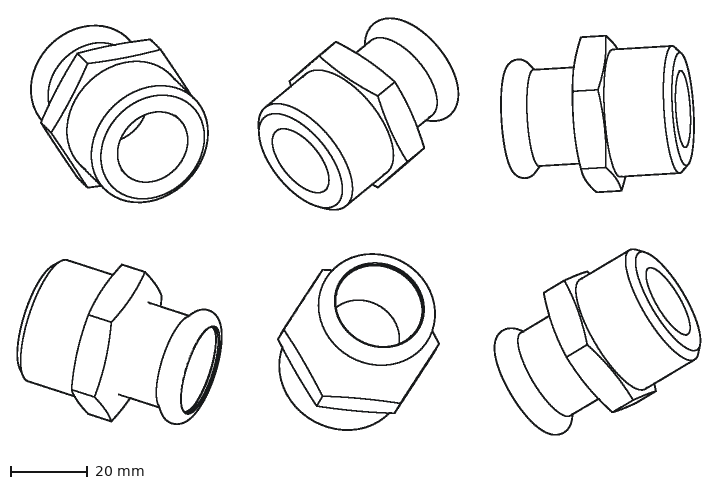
import cadquery as cq
import math

length = 45.8

tube_radius = 12.6
bead_radius = 2.95
bead_slope = math.radians(48.6)

hex_start = 20.0
hex_end = 28.1
hex_across_flats = 36.0
hex_chamfer_angle = math.radians(15)
neck_fillet = 0.9

spigot_radius = 33.25 / 2
spigot_chamfer = 1.9

lip_radius = 23.3 / 2
lip_chamfer = 0.3
lip_thickness = 0.95
groove_round = 1.5
socket_radius = 22.2 / 2
socket_mouth_round = 1.92
socket_depth = hex_start
stop_fillet = 0.55
bore_radius = 20.0 / 2


def arc_point(centre, radius, angle):
    """Point on a circle; the angle is measured from the radial direction towards +X."""
    return (centre[0] + radius * math.sin(angle), centre[1] + radius * math.cos(angle))


def revolve_about_x(profile):
    return profile.close().revolve(360, (0, 0, 0), (1, 0, 0))


def make_body():
    bead_centre = (bead_radius, tube_radius)
    bead_end = arc_point(bead_centre, bead_radius, bead_slope)
    cone_end = bead_end[0] + (bead_end[1] - tube_radius) / math.tan(bead_slope)
    fillet_centre = (hex_start - neck_fillet, tube_radius + neck_fillet)
    profile = (
        cq.Workplane("XY")
        .lineTo(0, tube_radius)
        .threePointArc(arc_point(bead_centre, bead_radius, 0), bead_end)
        .lineTo(cone_end, tube_radius)
        .lineTo(hex_start - neck_fillet, tube_radius)
        .threePointArc(
            arc_point(fillet_centre, neck_fillet, math.radians(135)),
            (hex_start, tube_radius + neck_fillet),
        )
        .lineTo(hex_start, spigot_radius)
        .lineTo(length - spigot_chamfer, spigot_radius)
        .lineTo(length, spigot_radius - spigot_chamfer)
        .lineTo(length, 0)
    )
    return revolve_about_x(profile)


def make_hexagon():
    flat_radius = hex_across_flats / 2
    corner_radius = flat_radius / math.cos(math.pi / 6)
    chamfer_depth = (corner_radius - flat_radius) * math.tan(hex_chamfer_angle)
    prism = (
        cq.Workplane("YZ", origin=(hex_start, 0, 0))
        .polygon(6, 2 * corner_radius)
        .extrude(hex_end - hex_start)
    )
    blank = (
        cq.Workplane("XY")
        .moveTo(hex_start, 0)
        .lineTo(hex_start, flat_radius)
        .lineTo(hex_start + chamfer_depth, corner_radius)
        .lineTo(hex_end - chamfer_depth, corner_radius)
        .lineTo(hex_end, flat_radius)
        .lineTo(hex_end, 0)
    )
    return prism.intersect(revolve_about_x(blank))


def make_cavity():
    groove_centre = (bead_radius, tube_radius)
    rear_end = arc_point(groove_centre, groove_round, bead_slope)
    mouth_radius = socket_radius + socket_mouth_round * (1 - math.cos(bead_slope))
    mouth_start = rear_end[0] + (rear_end[1] - mouth_radius) / math.tan(bead_slope)
    mouth_end = mouth_start + socket_mouth_round * math.sin(bead_slope)
    mouth_centre = (mouth_end, socket_radius + socket_mouth_round)

    stop_centre = (socket_depth - stop_fillet, socket_radius - stop_fillet)

    profile = (
        cq.Workplane("XY")
        .lineTo(0, lip_radius + lip_chamfer)
        .lineTo(lip_chamfer, lip_radius)
        .lineTo(lip_thickness, lip_radius)
        .lineTo(bead_radius - groove_round, tube_radius)
        .threePointArc(arc_point(groove_centre, groove_round, 0), rear_end)
        .lineTo(mouth_start, mouth_radius)
        .threePointArc(
            arc_point(mouth_centre, socket_mouth_round, math.pi + bead_slope / 2),
            (mouth_end, socket_radius),
        )
        .lineTo(socket_depth - stop_fillet, socket_radius)
        .threePointArc(
            arc_point(stop_centre, stop_fillet, math.pi / 4),
            (socket_depth, socket_radius - stop_fillet),
        )
        .lineTo(socket_depth, bore_radius)
        .lineTo(length, bore_radius)
        .lineTo(length, 0)
    )
    return revolve_about_x(profile)


result = make_body().union(make_hexagon()).cut(make_cavity())